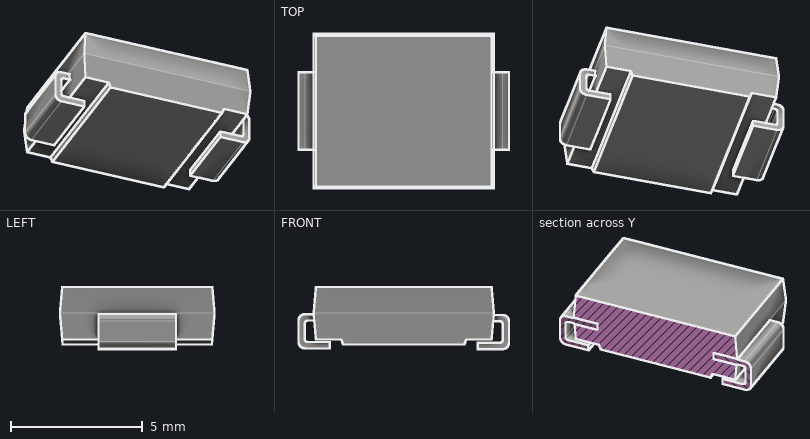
import cadquery as cq
import math

HOUSING_LENGTH = 6.85
HOUSING_WIDTH = 5.88
HOUSING_TOP = 1.0
DRAFT_ANGLE = 5.0

STEP_Z = -1.0
PAD_Z = -1.19
PAD_LENGTH = 4.6
PAD_SIDE_RUN = 0.075

OVERALL_LENGTH = 8.0
LEAD_WIDTH = 2.95
LEAD_HEIGHT = 1.31
LEAD_THICKNESS = 0.25
LEAD_FOOT_LENGTH = 1.2
LEAD_OUTER_RADIUS = 0.26
LEAD_INNER_RADIUS = 0.1
LEAD_EMBED_DEPTH = 1.0
LEFT_LEAD_TOP = -0.03
RIGHT_LEAD_TOP = -0.06


def tapered_half(end_z):
    """Half of the housing, narrowing from the parting plane to end_z."""
    inset = abs(end_z) * math.tan(math.radians(DRAFT_ANGLE))
    return (
        cq.Workplane("XY")
        .rect(HOUSING_LENGTH, HOUSING_WIDTH)
        .workplane(offset=end_z)
        .rect(HOUSING_LENGTH - 2 * inset, HOUSING_WIDTH - 2 * inset)
        .loft(ruled=True)
    )


def end_step(side):
    """Material removed beside the pad at one end; side is -1 for -X and +1 for +X."""
    pad_edge = PAD_LENGTH / 2
    outline = [
        (side * pad_edge, PAD_Z),
        (side * (pad_edge + PAD_SIDE_RUN), STEP_Z),
        (side * HOUSING_LENGTH / 2, STEP_Z),
        (side * HOUSING_LENGTH / 2, PAD_Z),
    ]
    return cq.Workplane("XZ").polyline(outline).close().extrude(HOUSING_WIDTH / 2, both=True)


def make_lead(side, top_z):
    """One lead: a tongue inside the housing, a bent outer wall and a foot turned inward."""
    outer_x = OVERALL_LENGTH / 2
    tongue_x = HOUSING_LENGTH / 2 - LEAD_EMBED_DEPTH
    foot_x = outer_x - LEAD_FOOT_LENGTH
    wall_x = outer_x - LEAD_THICKNESS
    bottom_z = top_z - LEAD_HEIGHT
    outline = [
        (side * tongue_x, top_z),
        (side * outer_x, top_z),
        (side * outer_x, bottom_z),
        (side * foot_x, bottom_z),
        (side * foot_x, bottom_z + LEAD_THICKNESS),
        (side * wall_x, bottom_z + LEAD_THICKNESS),
        (side * wall_x, top_z - LEAD_THICKNESS),
        (side * tongue_x, top_z - LEAD_THICKNESS),
    ]
    strip = cq.Workplane("XZ").polyline(outline).close().extrude(LEAD_WIDTH / 2, both=True)
    outward = ">X" if side > 0 else "<X"
    strip = strip.faces(outward).edges("|Y").fillet(LEAD_OUTER_RADIUS)
    inner_wall = cq.selectors.NearestToPointSelector((side * wall_x, 0, bottom_z + LEAD_HEIGHT / 2))
    return strip.faces(inner_wall).edges("|Y").fillet(LEAD_INNER_RADIUS)


leads = [make_lead(side, top_z) for side, top_z in ((-1, LEFT_LEAD_TOP), (1, RIGHT_LEAD_TOP))]

housing = tapered_half(HOUSING_TOP).union(tapered_half(PAD_Z))
for side in (-1, 1):
    housing = housing.cut(end_step(side))
for lead in leads:
    housing = housing.cut(lead)

result = cq.Compound.makeCompound([housing.val(), *[lead.val() for lead in leads]])